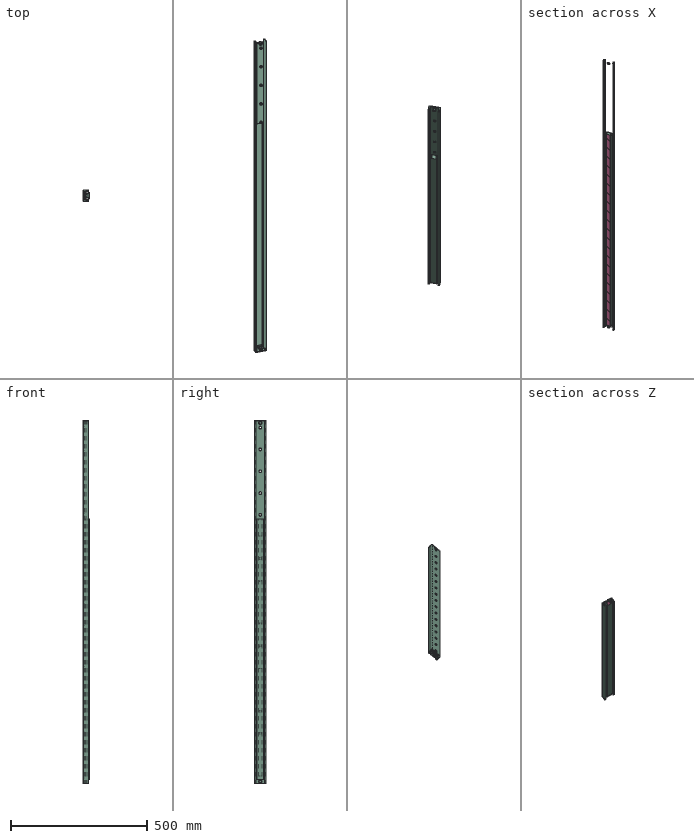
import cadquery as cq

rail_length = 1330
rail_width = 43
rail_depth = 20
web_thickness = 4
flange_thickness = 6
back_corner_radius = 2.5
lip_radius = 1

hole_diameter = 9
hole_count = 17
hole_pitch = 80
first_hole_height = (rail_length - hole_pitch * (hole_count - 1)) / 2
stop_inset = 8
stop_heights = [stop_inset, rail_length - stop_inset]

raceway_radius = 5.5
raceway_depth = 14
raceway_offset = 12.5

overall_depth = 22
slider_back = 7
slider_width = 26
slider_front_chamfer = 2
slider_bottom = 15
slider_top = 970

cage_thickness = 1
cage_clearance = 0.25
cage_front = 17
cage_bottom = slider_bottom
cage_top = slider_top

stop_base_diameter = 12
stop_base_height = 4
stop_head_diameter = 10
stop_head_height = 6


def bar(back, front, width, bottom, top):
    """Rectangular bar along Z, centred on Y = 0."""
    return (
        cq.Workplane("XY", origin=(back, 0, bottom))
        .box(front - back, width, top - bottom, centered=(False, True, False))
    )


def raceway_rods():
    """Two full-length rods that cut the raceway grooves."""
    centres = [(raceway_depth, side * raceway_offset) for side in (-1, 1)]
    return cq.Workplane("XY").pushPoints(centres).circle(raceway_radius).extrude(rail_length)


def make_rail():
    mouth_width = rail_width - 2 * flange_thickness
    body = bar(0, rail_depth, rail_width, 0, rail_length)
    body = body.edges("<X and |Z").fillet(back_corner_radius)
    body = body.cut(bar(web_thickness, rail_depth, mouth_width, 0, rail_length))
    body = body.faces(">X").edges("|Z").fillet(lip_radius)
    body = body.cut(raceway_rods())
    mounting_heights = [first_hole_height + i * hole_pitch for i in range(hole_count)]
    hole_centres = [(0, height) for height in mounting_heights + stop_heights]
    holes = cq.Workplane("YZ").pushPoints(hole_centres).circle(hole_diameter / 2).extrude(web_thickness)
    return body.cut(holes)


def make_slider():
    body = bar(slider_back, overall_depth, slider_width, slider_bottom, slider_top)
    body = body.edges(">X and |Z").chamfer(slider_front_chamfer)
    return body.cut(raceway_rods())


def make_cage():
    inner_back = slider_back - cage_clearance
    outer_back = inner_back - cage_thickness
    inner_width = slider_width + 2 * cage_clearance
    outer_width = inner_width + 2 * cage_thickness
    outer = bar(outer_back, cage_front, outer_width, cage_bottom, cage_top)
    return outer.cut(bar(inner_back, cage_front, inner_width, cage_bottom, cage_top))


def make_stop(height):
    """Wide base on the web with a narrower head in front of it."""
    return (
        cq.Workplane("YZ", origin=(web_thickness, 0, height))
        .circle(stop_base_diameter / 2)
        .extrude(stop_base_height)
        .faces(">X")
        .workplane()
        .circle(stop_head_diameter / 2)
        .extrude(stop_head_height)
    )


rail = make_rail()
slider = make_slider()
cage = make_cage()
stops = [make_stop(height) for height in stop_heights]

result = cq.Compound.makeCompound(
    [rail.val(), slider.val(), cage.val(), *[stop.val() for stop in stops]]
)